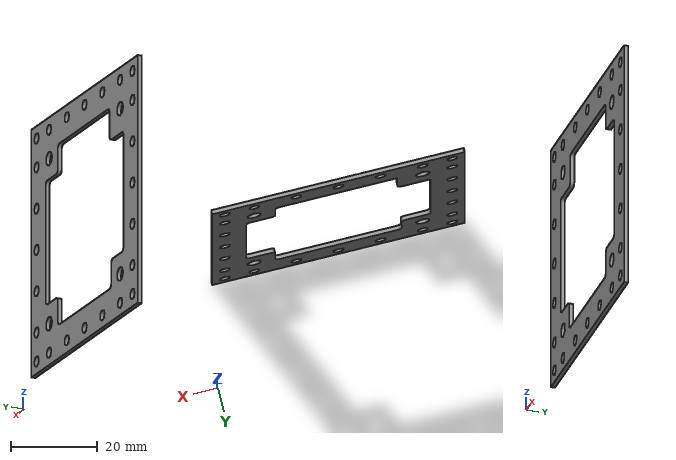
import cadquery as cq

side = 60.0
thickness = 1.0

window_half = 21.9
land_edge = 15.0
large_land_edge = 14.0
corner_radius = 1.0
large_land_radius = 1.25
large_land_root_radius = 0.8

perimeter_hole_diameter = 2.4
perimeter_hole_offset = 27.0
mount_hole_diameter = 3.2
mount_offset = side / 3
perimeter_pitch = mount_offset / 2


def through_cutter(sketch):
    """Extrude a centred XZ profile through the full plate thickness."""
    return sketch.extrude(thickness / 2, both=True)


def block(width, height, center_x=0.0, center_z=0.0):
    profile = cq.Workplane("XZ").center(center_x, center_z).rect(width, height)
    return through_cutter(profile)


def round_corner(solid, x, z, radius):
    """Fillet the edge along Y that passes through (x, z)."""
    return solid.edges("|Y").edges(cq.selectors.NearestToPointSelector((x, 0, z))).fillet(radius)


def window():
    """Square opening minus its four corner lands, with every corner rounded."""
    opening = block(2 * window_half, 2 * window_half)
    corners = []
    for sign_x in (-1, 1):
        for sign_z in (-1, 1):
            is_large = sign_x < 0 < sign_z
            edge = large_land_edge if is_large else land_edge
            tip_radius = large_land_radius if is_large else corner_radius
            root_radius = large_land_root_radius if is_large else corner_radius
            land_size = window_half - edge
            land_center = (window_half + edge) / 2
            land = block(land_size, land_size, sign_x * land_center, sign_z * land_center)
            opening = opening.cut(land)
            corners.append((sign_x * edge, sign_z * edge, tip_radius))
            corners.append((sign_x * window_half, sign_z * edge, root_radius))
            corners.append((sign_x * edge, sign_z * window_half, root_radius))
    for x, z, radius in corners:
        opening = round_corner(opening, x, z, radius)
    return opening


def holes(points, diameter):
    return through_cutter(cq.Workplane("XZ").pushPoints(points).circle(diameter / 2))


def perimeter_points():
    """Corner holes plus five holes along each side."""
    far = perimeter_hole_offset
    points = [(x, z) for x in (-far, far) for z in (-far, far)]
    for step in range(-2, 3):
        along = step * perimeter_pitch
        for across in (-far, far):
            points.append((along, across))
            points.append((across, along))
    return points


mount_points = [(x, z) for x in (-mount_offset, mount_offset) for z in (-mount_offset, mount_offset)]

plate = cq.Workplane("XY").box(side, thickness, side)
plate = plate.cut(window())
plate = plate.cut(holes(perimeter_points(), perimeter_hole_diameter))
result = plate.cut(holes(mount_points, mount_hole_diameter))